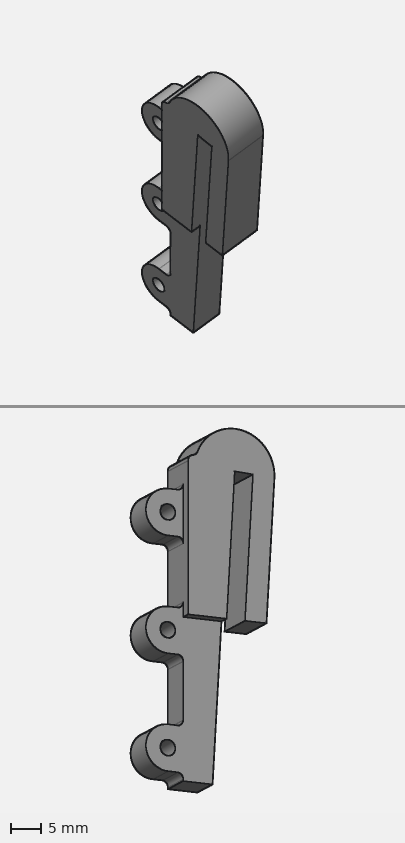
import cadquery as cq
import math

height = 60.2
full_depth = 8.0
thin_depth = 6.0
step_z = 27.8

body_left = 6.75
foot_right = 12.1
shoulder_z = 53.95

head_radius = 7.2
head_x = 15.15
head_z = height - head_radius
slot_width = 3.3
lean = math.atan2(head_x - foot_right, head_z)

lug_radius = 4.0
hole_diameter = 2.7
first_lug_z = 5.35
lug_pitch = 20.0
lug_count = 3
lug_blend = 1.0

shoulder_radius = 1.0


def prism(points, depth):
    """Extrude an XZ outline from the back face toward -Y."""
    return cq.Workplane("XZ").polyline(points).close().extrude(depth)


def leaning_x(offset, z):
    """X at height z on a leaning line, offset square to the body's slanted edge."""
    return head_x + offset / math.cos(lean) + (z - head_z) * math.tan(lean)


def point_between(start, end, fraction):
    """Point on the line from start to end, at the given fraction of its length."""
    return (
        start[0] + fraction * (end[0] - start[0]),
        start[1] + fraction * (end[1] - start[1]),
    )


def arc_middle(center, start, end, radius):
    """Middle point of the shorter arc from start to end."""
    chord_middle = point_between(start, end, 0.5)
    return point_between(center, chord_middle, radius / math.dist(center, chord_middle))


def make_shoulder():
    """Convex round off the wall, running tangentially into a concave blend with the head."""
    head_center = (head_x, head_z)
    round_center = (body_left + shoulder_radius, shoulder_z)

    head_to_round = math.dist(head_center, round_center)
    head_to_blend = head_radius + shoulder_radius
    round_to_blend = 2 * shoulder_radius
    head_angle = math.acos(
        (head_to_round**2 + head_to_blend**2 - round_to_blend**2)
        / (2 * head_to_round * head_to_blend)
    )
    round_direction = math.atan2(round_center[1] - head_z, round_center[0] - head_x)
    blend_direction = round_direction - head_angle
    blend_center = (
        head_x + head_to_blend * math.cos(blend_direction),
        head_z + head_to_blend * math.sin(blend_direction),
    )

    wall_end = (body_left, shoulder_z)
    arcs_meet = point_between(round_center, blend_center, 0.5)
    head_touch = point_between(head_center, blend_center, head_radius / head_to_blend)
    return (
        cq.Workplane("XZ")
        .moveTo(*wall_end)
        .threePointArc(arc_middle(round_center, wall_end, arcs_meet, shoulder_radius), arcs_meet)
        .threePointArc(arc_middle(blend_center, arcs_meet, head_touch, shoulder_radius), head_touch)
        .lineTo(head_x, shoulder_z)
        .close()
        .extrude(full_depth)
    )


def make_hook_body():
    body = prism(
        [
            (body_left, 0),
            (foot_right, 0),
            (head_x, head_z),
            (head_x, shoulder_z),
            (body_left, shoulder_z),
        ],
        full_depth,
    )
    head = cq.Workplane("XZ").center(head_x, head_z).circle(head_radius).extrude(full_depth)
    tangent_point = (
        head_x + head_radius * math.cos(lean),
        head_z - head_radius * math.sin(lean),
    )
    arm = prism(
        [
            (head_x, head_z),
            (leaning_x(0, step_z), step_z),
            (leaning_x(head_radius, step_z), step_z),
            tangent_point,
        ],
        full_depth,
    )
    slot_corner = (
        head_x + slot_width * math.cos(lean),
        head_z - slot_width * math.sin(lean),
    )
    slot = prism(
        [
            (head_x, head_z),
            (foot_right, 0),
            (leaning_x(slot_width, 0), 0),
            slot_corner,
        ],
        full_depth,
    )
    solid = body.union(head).union(make_shoulder()).union(arm).cut(slot)

    step_cut = (
        cq.Workplane("XY")
        .box(head_x, full_depth - thin_depth, step_z, centered=False)
        .translate((0, -full_depth, 0))
    )
    return solid.cut(step_cut)


def make_lug(z):
    """Round-ended lug with a concave blend on each side where it meets the body."""
    blend_start = body_left - lug_blend
    bend = lug_blend * (1 - math.sqrt(0.5))
    top = z + lug_radius
    bottom = z - lug_radius
    return (
        cq.Workplane("XZ")
        .moveTo(lug_radius, top)
        .lineTo(blend_start, top)
        .threePointArc((body_left - bend, top + bend), (body_left, top + lug_blend))
        .lineTo(body_left, bottom - lug_blend)
        .threePointArc((body_left - bend, bottom - bend), (blend_start, bottom))
        .lineTo(lug_radius, bottom)
        .threePointArc((0, z), (lug_radius, top))
        .close()
        .extrude(thin_depth)
    )


result = make_hook_body()
for index in range(lug_count):
    lug_z = first_lug_z + index * lug_pitch
    hole = (
        cq.Workplane("XZ").center(lug_radius, lug_z).circle(hole_diameter / 2).extrude(thin_depth)
    )
    result = result.union(make_lug(lug_z)).cut(hole)